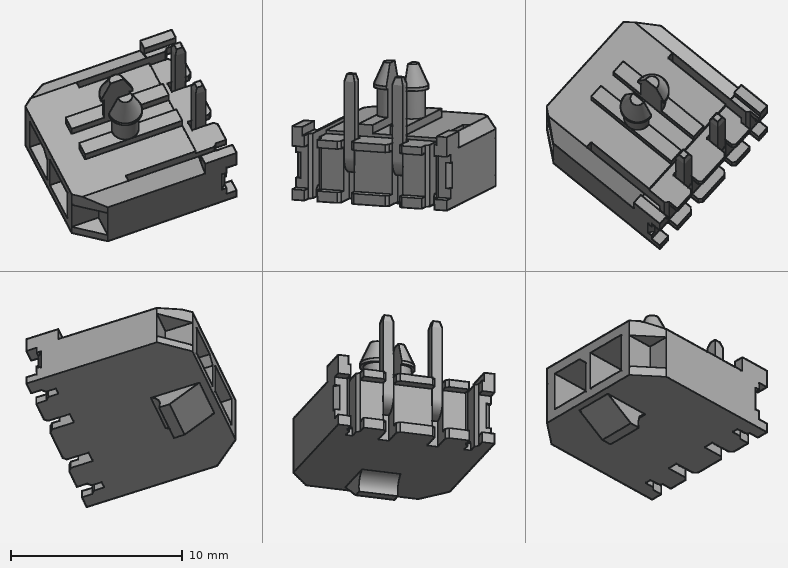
import cadquery as cq


width = 9.65
length = 9.9
body_height = 3.87
rib_top = 4.38
back_top = 3.67
deck_start = 7.89
bevel_width = 0.97
bevel_drop = 0.48
corner_x = 1.38
corner_y = 1.7
half_width = width / 2
corner_pocket_bottom = 0.62
corner_pocket_top = 2.82

rear_wall = 9.26
lower_flange = 0.62
upper_flange = 3.21

ear_width = 0.63
notch_bottom = 1.2
notch_top = 2.72
notch_size = 0.31

slot_outer = half_width - bevel_width
slot_inner = half_width - corner_x
slot_width = slot_outer - slot_inner
slot_front = 3.44
slot_floor = 0.62
slot_open_start = 8.42
slot_edge_chamfer = 0.2
slot_flare = 0.2

pitch = 3.01
pin_size = 0.65
pin_z = 1.91
pin_y = 8.9
pin_top = 7.55
pin_front = 1.98
pin_tip_size = 0.4
pin_tip_length = 0.43
bend_radius = 0.33
pin_slot_front = 8.35
pin_slot_chamfer = 0.19

cavity_inner = 0.21
cavity_outer = 2.78
cavity_bottom = 0.65
cavity_top = 3.18
cavity_depth = 6.93
key_chamfer = 0.495

rib_inner = 0.55
rib_outer = 1.45
rib_front = corner_y
post_y = 4.59
post_radius = 0.8
post_axis = rib_outer - post_radius
collar_radius = 1.0
collar_bottom = 6.07
collar_top = 6.27
post_tip_radius = 0.42

latch_width = 2.39
latch_drop = 1.2
latch_front = 0.46
latch_tip_front = 2.33
latch_tip_back = 2.99
latch_back = 3.5
latch_arc_point = (3.04, -0.45)


def box(x0, x1, y0, y1, z0, z1):
    """Block between two opposite corners."""
    return cq.Workplane("XY").box(x1 - x0, y1 - y0, z1 - z0, centered=False).translate((x0, y0, z0))


def both_sides(shape):
    """The shape together with its mirror image across the middle plane."""
    return shape.union(shape.mirror("YZ"))


def plan_prism(points, z0, z1):
    """Outline in X and Y, extruded from z0 to z1."""
    return cq.Workplane("XY").workplane(offset=z0).polyline(points).close().extrude(z1 - z0)


def make_housing():
    """Block with bevelled edges, raised ears, slanted corners and a recessed rear wall."""
    section = [
        (-half_width, 0),
        (half_width, 0),
        (half_width, body_height - bevel_drop),
        (slot_outer, body_height),
        (-slot_outer, body_height),
        (-half_width, body_height - bevel_drop),
    ]
    front = cq.Workplane("XZ").polyline(section).close().extrude(-deck_start)
    rear = box(-half_width, half_width, deck_start, length, 0, body_height)
    deck_step = box(-slot_inner, slot_inner, deck_start, length, back_top, body_height)
    ear = box(half_width - ear_width, half_width, deck_start, length, 0, rib_top)
    body = front.union(rear).cut(deck_step).union(both_sides(ear))

    corner = plan_prism([(slot_inner, 0), (half_width, 0), (half_width, corner_y)], 0, body_height)
    corner_pocket = box(slot_inner, half_width, 0, corner_y, corner_pocket_bottom, corner_pocket_top)
    ear_notch = plan_prism(
        [
            (half_width, rear_wall - notch_size),
            (half_width, rear_wall),
            (half_width - notch_size, rear_wall),
        ],
        notch_bottom,
        notch_top,
    )
    recess = box(-half_width, half_width, rear_wall, length, lower_flange, upper_flange)
    side_cuts = corner.union(corner_pocket).union(ear_notch)
    return body.cut(both_sides(side_cuts)).cut(recess)


def make_side_slot():
    """Slot beside an ear: a floored channel that opens downwards near the back."""
    profile = [
        (slot_front, slot_floor),
        (slot_open_start - slot_edge_chamfer, slot_floor),
        (slot_open_start, slot_floor - slot_edge_chamfer),
        (slot_open_start, body_height),
        (slot_front, body_height),
    ]
    channel = cq.Workplane("YZ").workplane(offset=slot_inner).polyline(profile).close().extrude(slot_width)
    mouth_inner = slot_inner - slot_flare
    mouth_outer = slot_outer + slot_flare
    outlet = plan_prism(
        [
            (slot_inner, slot_open_start),
            (slot_outer, slot_open_start),
            (slot_outer, rear_wall - slot_flare),
            (mouth_outer, rear_wall),
            (mouth_outer, length),
            (mouth_inner, length),
            (mouth_inner, rear_wall),
            (slot_inner, rear_wall - slot_flare),
        ],
        0,
        body_height,
    )
    return channel.union(outlet)


def make_pin_slot():
    """Slot behind a contact, with chamfered corners at the back face."""
    x = pitch / 2
    half = pin_size / 2
    points = [
        (x - half, pin_slot_front),
        (x + half, pin_slot_front),
        (x + half, length - pin_slot_chamfer),
        (x + half + pin_slot_chamfer, length),
        (x - half - pin_slot_chamfer, length),
        (x - half, length - pin_slot_chamfer),
    ]
    return plan_prism(points, 0, body_height)


def make_cavity():
    return box(cavity_inner, cavity_outer, 0, cavity_depth, cavity_bottom, cavity_top)


def make_keyed_cavity():
    """Left cavity, its upper inner corner filled by a slanted key."""
    cavity = make_cavity().mirror("YZ")
    return cavity.edges("|Y").edges(">X").edges(">Z").chamfer(key_chamfer)


def pin_tip(plane):
    """Tapered contact end, starting on the given plane."""
    return (
        cq.Workplane(plane)
        .rect(pin_size, pin_size)
        .workplane(offset=pin_tip_length)
        .rect(pin_tip_size, pin_tip_size)
        .loft(ruled=True)
    )


def make_pin():
    """L-shaped square contact with a rounded bend and two tapered ends."""
    x = pitch / 2
    half = pin_size / 2
    shank_front = pin_front + pin_tip_length
    shank_top = pin_top - pin_tip_length
    outline = [
        (shank_front, pin_z - half),
        (pin_y + half, pin_z - half),
        (pin_y + half, shank_top),
        (pin_y - half, shank_top),
        (pin_y - half, pin_z + half),
        (shank_front, pin_z + half),
    ]
    shank = cq.Workplane("YZ").workplane(offset=x - half).polyline(outline).close().extrude(pin_size)
    inner_corner = cq.selectors.NearestToPointSelector((x, pin_y - half, pin_z + half))
    outer_corner = cq.selectors.NearestToPointSelector((x, pin_y + half, pin_z - half))
    shank = shank.edges(inner_corner).fillet(bend_radius)
    shank = shank.edges(outer_corner).fillet(bend_radius + pin_size)
    upper_tip = pin_tip("XY").translate((x, pin_y, shank_top))
    front_tip = pin_tip("XZ").translate((x, shank_front, pin_z))
    return shank.union(upper_tip).union(front_tip)


def make_rib_and_post():
    """Rib carrying half of the barbed mounting post, flat on its inner side."""
    rib = box(rib_inner, rib_outer, rib_front, deck_start, back_top, rib_top)
    profile = [
        (0, rib_top),
        (post_radius, rib_top),
        (post_radius, collar_bottom),
        (collar_radius, collar_bottom),
        (collar_radius, collar_top),
        (post_tip_radius, pin_top),
        (0, pin_top),
    ]
    post = cq.Workplane("XZ").polyline(profile).close().revolve(360, (0, 0, 0), (0, 1, 0))
    post = post.translate((post_axis, post_y, 0))
    keep = box(rib_inner, half_width, 0, length, 0, pin_top)
    return rib.union(post.intersect(keep))


def make_latch():
    """Ramp under the housing with a hollow rounded back."""
    return (
        cq.Workplane("YZ")
        .workplane(offset=-latch_width / 2)
        .moveTo(latch_front, 0)
        .lineTo(latch_tip_front, -latch_drop)
        .lineTo(latch_tip_back, -latch_drop)
        .threePointArc(latch_arc_point, (latch_back, 0))
        .close()
        .extrude(latch_width)
    )


housing = make_housing()
housing = housing.cut(both_sides(make_side_slot()))
housing = housing.cut(both_sides(make_pin_slot()))
housing = housing.cut(make_cavity()).cut(make_keyed_cavity())

result = housing.union(both_sides(make_rib_and_post())).union(make_latch())
result = result.union(both_sides(make_pin()))